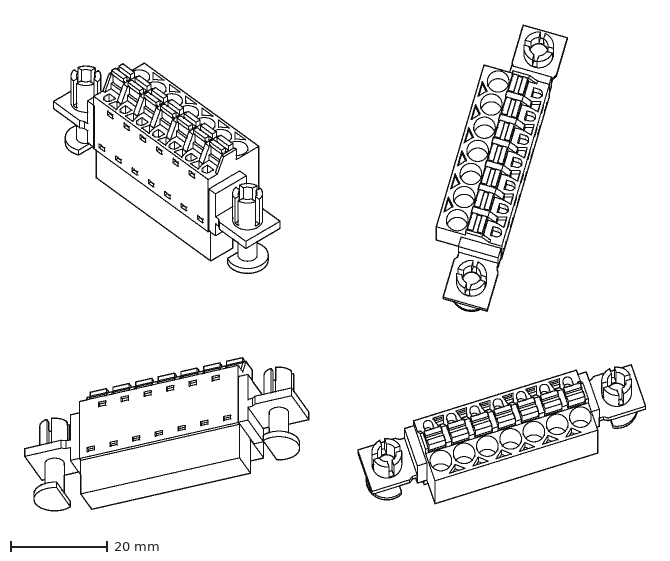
import cadquery as cq

poles = 7
pitch = 5.1
total_length = 59.7

housing_length = poles * pitch
housing_front = -4.4
housing_back = 9.75
housing_bottom = 8.4
front_ledge_top = 22.75
back_deck_top = 23.7
crest_top = 26.5
crest_back = 3.45
crest_front = -0.1
slope_foot = -1.85

plug_front = -3.7
plug_back = 2.45

latch_root_back = 5.75
latch_root_front = 3.6
latch_inner_y = 4.05
latch_tip_y = 3.45
latch_root_z = 7.4
latch_bend_y = 5.15
latch_bend_z = 5.7
latch_bend_inner_z = 5.4
latch_tip_z = 4.7
latch_end = 4.35
latch_end_back = 4.35
latch_end_front = 3.7

ear_length = 2.1
ear_front = -4.25
ear_back = 4.35
ear_bottom = 8.6
ear_top = 20.05
flange_half_width = 4.8
flange_neck_half_width = -ear_front
flange_shoulder = 21.7
flange_neck_start = 20.85
flange_bottom = 11.8
flange_top = 13.8

seat_width = 3.8
seat_floor = 24.2
lever_width = 3.65
lever_top = 27.7
lever_back = 3.15
lever_front = 0.0
lever_waist_front = 0.4
lever_lip_bottom = 26.7
lever_slot_front = 1.1
lever_slot_back = 2.05
lever_slot_floor = 26.5

wire_hole_diameter = 4.5
wire_hole_y = 5.9
wire_hole_depth = 8.95
triangle_width = 3.35
triangle_base_y = 9.1
triangle_tip_y = 7.6
triangle_depth = 3.0
test_hole_width = 1.9
test_hole_back = -1.5
test_hole_front = -3.6
test_hole_depth = 4.8
funnel_back = -1.9
funnel_front = -3.7
funnel_back_width = 1.25
funnel_front_width = 2.25
funnel_depth = 3.6
window_width = 1.6
upper_window_bottom = 20.35
upper_window_height = 1.1
lower_window_bottom = 9.8
lower_window_height = 0.95
window_depth = 0.65

screw_x = 25.1
shaft_diameter = 4.0
head_diameter = 8.6
head_bottom = 2.85
head_top = 4.25
collar_diameter = 6.2
collar_bore = 3.9
collar_top = 21.15
collar_slot_width = 1.0
collar_slot_floor = 14.45

pole_xs = [(i - (poles - 1) / 2) * pitch for i in range(poles)]
gap_xs = [x + pitch / 2 for x in pole_xs[:-1]]


def box(x0, x1, y0, y1, z0, z1):
    """Solid block between two opposite corners."""
    return cq.Workplane("XY").box(x1 - x0, y1 - y0, z1 - z0, centered=False).translate((x0, y0, z0))


def extrude_along_x(yz_points, x0, x1):
    """Prism with a profile in the YZ plane, running from x0 to x1."""
    return cq.Workplane("YZ", origin=(x0, 0, 0)).polyline(yz_points).close().extrude(x1 - x0)


def housing_shell():
    """Stepped main body, the plug block below it and the latch behind the plug."""
    half = housing_length / 2
    body = extrude_along_x(
        [
            (housing_front, housing_bottom),
            (housing_front, front_ledge_top),
            (slope_foot, front_ledge_top),
            (crest_front, crest_top),
            (crest_back, crest_top),
            (crest_back, back_deck_top),
            (housing_back, back_deck_top),
            (housing_back, housing_bottom),
        ],
        -half,
        half,
    )
    plug = box(-half, half, plug_front, plug_back, 0, housing_bottom)
    latch = extrude_along_x(
        [
            (latch_root_back, housing_bottom),
            (latch_bend_y, latch_bend_z),
            (latch_end_back, latch_end),
            (latch_end_front, latch_end),
            (latch_tip_y, latch_tip_z),
            (latch_inner_y, latch_bend_inner_z),
            (latch_inner_y, latch_root_z),
            (latch_root_front, housing_bottom),
        ],
        pole_xs[0],
        pole_xs[-1],
    )
    return body.union(plug).union(latch)


def side_flange():
    """Ear on the +X end and the screw flange, whose neck is flush with the front of the ear."""
    half = housing_length / 2
    ear_end = half + ear_length
    ear = box(half, ear_end, ear_front, ear_back, ear_bottom, ear_top)
    outline = [
        (ear_end, -flange_neck_half_width),
        (flange_neck_start, -flange_neck_half_width),
        (flange_shoulder, -flange_half_width),
        (total_length / 2, -flange_half_width),
        (total_length / 2, flange_half_width),
        (flange_shoulder, flange_half_width),
        (flange_neck_start, flange_neck_half_width),
        (ear_end, flange_neck_half_width),
    ]
    plate = (
        cq.Workplane("XY", origin=(0, 0, flange_bottom))
        .polyline(outline)
        .close()
        .extrude(flange_top - flange_bottom)
    )
    hole = (
        cq.Workplane("XY", origin=(screw_x, 0, flange_bottom))
        .circle(shaft_diameter / 2)
        .extrude(flange_top - flange_bottom)
    )
    return ear.union(plate).cut(hole)


def lever_seat(x):
    """Notch across the crest that leaves a flat seat for one lever."""
    x0 = x - seat_width / 2
    x1 = x + seat_width / 2
    above_seat = box(x0, x1, crest_front, crest_back, seat_floor, crest_top)
    before_seat = box(x0, x1, slope_foot, crest_front, front_ledge_top, crest_top)
    return above_seat.union(before_seat)


def wire_hole(x):
    """Round wire entry in the back deck."""
    top = cq.Workplane("XY", origin=(x, wire_hole_y, back_deck_top))
    return top.circle(wire_hole_diameter / 2).extrude(-wire_hole_depth)


def test_hole(x):
    """Opening in the front ledge with a flat back and a round front."""
    r = test_hole_width / 2
    arc_y = test_hole_front + r
    return (
        cq.Workplane("XY", origin=(x, 0, front_ledge_top))
        .moveTo(-r, arc_y)
        .lineTo(-r, test_hole_back)
        .lineTo(r, test_hole_back)
        .lineTo(r, arc_y)
        .threePointArc((0, test_hole_front), (-r, arc_y))
        .close()
        .extrude(-test_hole_depth)
    )


def triangle_pocket(x):
    """Triangular pocket in the back deck between two wire holes."""
    w = triangle_width / 2
    return (
        cq.Workplane("XY", origin=(x, 0, back_deck_top))
        .polyline([(-w, triangle_base_y), (w, triangle_base_y), (0, triangle_tip_y)])
        .close()
        .extrude(-triangle_depth)
    )


def funnel_pocket(x):
    """Trapezoidal pocket in the front ledge, reaching below the window that opens into it."""
    back = funnel_back_width / 2
    front = funnel_front_width / 2
    return (
        cq.Workplane("XY", origin=(x, 0, front_ledge_top))
        .polyline([(-back, funnel_back), (back, funnel_back), (front, funnel_front), (-front, funnel_front)])
        .close()
        .extrude(-funnel_depth)
    )


def window(x, bottom, height):
    """Small rectangular window in the front wall."""
    x0 = x - window_width / 2
    return box(x0, x0 + window_width, housing_front, housing_front + window_depth, bottom, bottom + height)


def make_housing():
    flange = side_flange()
    housing = housing_shell().union(flange).union(flange.mirror("YZ"))
    for x in pole_xs:
        housing = housing.cut(lever_seat(x)).cut(wire_hole(x)).cut(test_hole(x))
        housing = housing.cut(window(x, lower_window_bottom, lower_window_height))
    for x in gap_xs:
        housing = housing.cut(triangle_pocket(x)).cut(funnel_pocket(x))
        housing = housing.cut(window(x, upper_window_bottom, upper_window_height))
    return housing


def make_lever(x):
    """Release lever: slotted top with a lip over a recessed waist, against the -X side of its seat."""
    x0 = x - seat_width / 2
    return extrude_along_x(
        [
            (lever_back, seat_floor),
            (lever_back, lever_top),
            (lever_slot_back, lever_top),
            (lever_slot_back, lever_slot_floor),
            (lever_slot_front, lever_slot_floor),
            (lever_slot_front, lever_top),
            (lever_front, lever_top),
            (lever_front, lever_lip_bottom),
            (lever_waist_front, lever_lip_bottom),
            (lever_waist_front, seat_floor),
        ],
        x0,
        x0 + lever_width,
    )


def make_screw(side):
    """Screw with a split collar above the flange and a head cut flat on its inner side."""

    def cylinder(diameter, z0, z1):
        return cq.Workplane("XY", origin=(screw_x, 0, z0)).circle(diameter / 2).extrude(z1 - z0)

    collar = cylinder(collar_diameter, flange_top, collar_top)
    collar = collar.cut(cylinder(collar_bore, flange_top, collar_top))
    reach = collar_diameter / 2
    half_slot = collar_slot_width / 2
    for across_x, across_y in [(reach, half_slot), (half_slot, reach)]:
        collar = collar.cut(
            box(
                screw_x - across_x,
                screw_x + across_x,
                -across_y,
                across_y,
                collar_slot_floor,
                collar_top,
            )
        )
    head_radius = head_diameter / 2
    flat_x = screw_x - shaft_diameter / 2
    head = cylinder(head_diameter, head_bottom, head_top).intersect(
        box(flat_x, screw_x + head_radius, -head_radius, head_radius, head_bottom, head_top)
    )
    shaft = cylinder(shaft_diameter, head_top, flange_top)
    screw = shaft.union(head).union(collar)
    return screw if side > 0 else screw.mirror("YZ")


housing = make_housing()
levers = [make_lever(x) for x in pole_xs]
screws = [make_screw(side) for side in (-1, 1)]

result = cq.Compound.makeCompound(
    [
        housing.val(),
        *[lever.val() for lever in levers],
        *[screw.val() for screw in screws],
    ]
)